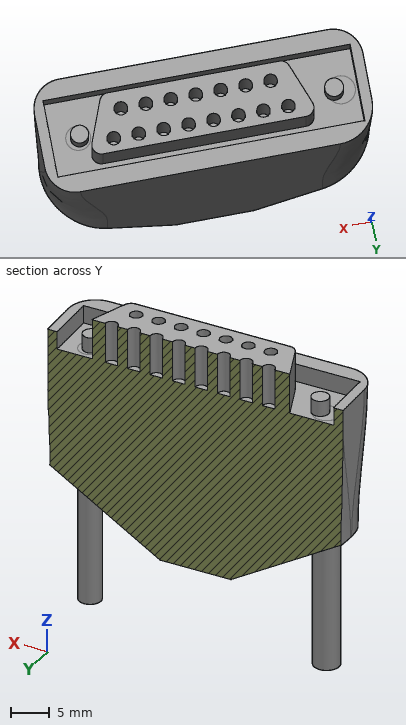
import cadquery as cq
import math


overall_height = 43.95

hood_length = 43.4
hood_width = 15.25
hood_height = 30.5
shoulder_depth = 20.45
nose_length = 10.35
rim_corner_radius = 3.95
large_rim_corner_radius = 5.1
shoulder_corner_radius = 7.5
section_count = 13

recess_length = 40.55
recess_width = 10.33
recess_depth = 2.65

shell_offset = 0.65
shell_long_side = 30.4
shell_short_side = 24.4
shell_width = 7.85
shell_corner_radius = 1.25
shell_rise = 3.3

contact_offset = 0.8
contact_diameter = 1.75
contact_pitch = 3.3
contact_depth = shell_rise + recess_depth
contact_rows = ((8, 2.15), (7, -1.6))

left_screw = (-18.1, 3.75, -17.2, 2.45)
right_screw = (16.6, 3.25, 16.45, 2.37)
rod_bottom = shell_rise - overall_height
pin_height = 2.3


def corner_radius(rim_radius, depth):
    """Radius that eases from the rim value to the shoulder value and then stays constant."""
    t = min(depth / shoulder_depth, 1)
    blend = t * t * (3 - 2 * t)
    return rim_radius + (shoulder_corner_radius - rim_radius) * blend


def hood_section(depth):
    """Closed outline of the hood at a depth below the rim."""
    small = corner_radius(rim_corner_radius, depth)
    large = corner_radius(large_rim_corner_radius, depth)
    x = hood_length / 2
    y = hood_width / 2
    bulge = 1 - math.sqrt(0.5)
    return (
        cq.Workplane("XY", origin=(0, 0, -depth))
        .moveTo(-x + small, -y)
        .lineTo(x - small, -y)
        .threePointArc((x - bulge * small, -y + bulge * small), (x, -y + small))
        .lineTo(x, y - small)
        .threePointArc((x - bulge * small, y - bulge * small), (x - small, y))
        .lineTo(-x + large, y)
        .threePointArc((-x + bulge * large, y - bulge * large), (-x, y - large))
        .lineTo(-x, -y + small)
        .threePointArc((-x + bulge * small, -y + bulge * small), (-x + small, -y))
        .close()
    )


def make_hood():
    """Hood with easing corner radii, sloped shoulders and a recessed rim."""
    depths = [hood_height * i / (section_count - 1) for i in range(section_count)]
    outlines = [hood_section(depth).val() for depth in depths]
    blank = cq.Workplane(cq.Solid.makeLoft(outlines))
    profile = (
        cq.Workplane("XZ")
        .polyline([
            (-hood_length / 2, 0),
            (hood_length / 2, 0),
            (hood_length / 2, -shoulder_depth),
            (nose_length / 2, -hood_height),
            (-nose_length / 2, -hood_height),
            (-hood_length / 2, -shoulder_depth),
        ])
        .close()
        .extrude(hood_width / 2, both=True)
    )
    recess = cq.Workplane("XY").rect(recess_length, recess_width).extrude(-recess_depth)
    return blank.intersect(profile).cut(recess)


def make_shell():
    """D-shaped connector block standing on the recess floor."""
    return (
        cq.Workplane("XY", origin=(shell_offset, 0, -recess_depth))
        .polyline([
            (-shell_long_side / 2, shell_width / 2),
            (shell_long_side / 2, shell_width / 2),
            (shell_short_side / 2, -shell_width / 2),
            (-shell_short_side / 2, -shell_width / 2),
        ])
        .close()
        .extrude(recess_depth + shell_rise)
        .edges("|Z")
        .fillet(shell_corner_radius)
    )


def make_contact_row(count, y):
    """Row of blind contact holes, to be cut from the connector block."""
    first_x = contact_offset - contact_pitch * (count - 1) / 2
    centres = [(first_x + contact_pitch * i, y) for i in range(count)]
    return (
        cq.Workplane("XY", origin=(0, 0, shell_rise))
        .pushPoints(centres)
        .circle(contact_diameter / 2)
        .extrude(-contact_depth)
    )


def make_screw(rod_x, rod_diameter, pin_x, pin_diameter):
    """Rod running below the hood and thinner pin standing in the recess."""
    floor = cq.Workplane("XY", origin=(0, 0, -recess_depth))
    rod = floor.center(rod_x, 0).circle(rod_diameter / 2).extrude(rod_bottom + recess_depth)
    pin = floor.center(pin_x, 0).circle(pin_diameter / 2).extrude(pin_height)
    return rod.union(pin)


result = make_hood().union(make_shell())
for count, row_y in contact_rows:
    result = result.cut(make_contact_row(count, row_y))

for screw in (left_screw, right_screw):
    result = result.union(make_screw(*screw), clean=False)